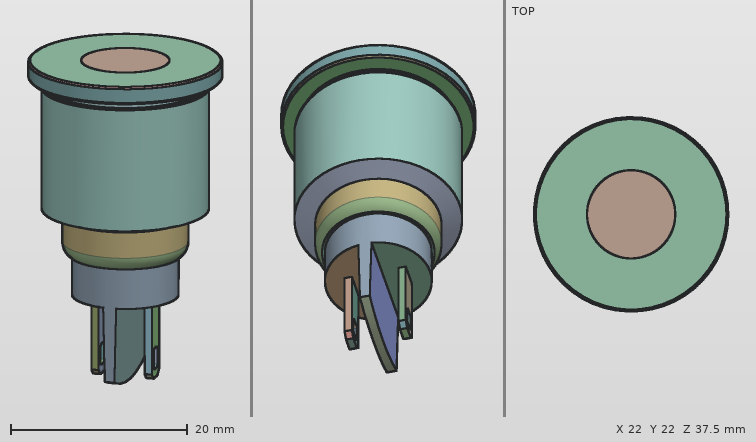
import cadquery as cq

total_height = 37.47
stem_bottom = 9.93
collar_bottom = 14.7
collar_top = 19.25
body_bottom = 20.1
body_top = 34.45
neck_step = 35.2
flange_bottom = 35.4

flange_diameter = 22.0
neck_diameter = 18.0
neck_groove_diameter = 17.85
body_diameter = 19.0
collar_diameter = 14.3
collar_round = 1.87
collar_end_diameter = 12.75
collar_round_height = 1.55
stem_diameter = 12.1

flange_chamfer = 0.22
body_chamfer = 0.1

button_diameter = 9.95
button_bore = 10.0
button_gap_depth = 0.37

blade_top_thickness = 1.55
blade_tip_thickness = 1.1
blade_corner_height = 1.25

pin_offset = 3.15
pin_thickness = 0.85
pin_width = 2.9
pin_bottom = 0.5
pin_chamfer = 0.67
eye_width = 1.35
eye_height = 2.47
eye_bottom = 1.5
eye_corner = 0.35

overlap = 0.37


def disc(diameter, bottom, top):
    return cq.Workplane("XY").workplane(offset=bottom).circle(diameter / 2).extrude(top - bottom)


def make_housing():
    flange = disc(flange_diameter, flange_bottom, total_height).edges().chamfer(flange_chamfer)
    neck = disc(neck_diameter, neck_step, flange_bottom)
    neck = neck.union(disc(neck_groove_diameter, body_top, neck_step))
    body = disc(body_diameter, body_bottom, body_top).faces(">Z").edges().chamfer(body_chamfer)
    stem = disc(stem_diameter, stem_bottom, collar_bottom)
    return flange.union(neck).union(body).union(make_collar()).union(stem)


def make_collar():
    """Collar with a cone up to the body and a rounded lower edge."""
    radius = collar_diameter / 2
    round_start = collar_bottom + collar_round_height
    profile = (
        cq.Workplane("XZ")
        .moveTo(0, collar_bottom)
        .lineTo(collar_end_diameter / 2, collar_bottom)
        .radiusArc((radius, round_start), -collar_round)
        .lineTo(radius, collar_top)
        .lineTo(body_diameter / 2, body_bottom)
        .lineTo(0, body_bottom)
        .close()
    )
    return profile.revolve(360, (0, 0, 0), (0, 1, 0))


def make_button_gap():
    gap_bottom = total_height - button_gap_depth
    bore = disc(button_bore, gap_bottom, total_height)
    return bore.cut(disc(button_diameter, gap_bottom, total_height))


def make_blade():
    """Blade whose side edges follow the stem cylinder."""
    top = stem_bottom + overlap
    half_width = stem_diameter / 2
    outline = (
        cq.Workplane("YZ")
        .moveTo(-half_width, top)
        .lineTo(-half_width, blade_corner_height)
        .threePointArc((0, 0), (half_width, blade_corner_height))
        .lineTo(half_width, top)
        .close()
        .extrude(blade_top_thickness, both=True)
    )
    taper = (
        cq.Workplane("XZ")
        .moveTo(-blade_tip_thickness / 2, 0)
        .lineTo(blade_tip_thickness / 2, 0)
        .lineTo(blade_top_thickness / 2, stem_bottom)
        .lineTo(blade_top_thickness / 2, top)
        .lineTo(-blade_top_thickness / 2, top)
        .lineTo(-blade_top_thickness / 2, stem_bottom)
        .close()
        .extrude(stem_diameter, both=True)
    )
    return outline.intersect(taper).intersect(disc(stem_diameter, 0, top))


def make_pin(x):
    height = stem_bottom + overlap - pin_bottom
    pin = (
        cq.Workplane("XY")
        .box(pin_thickness, pin_width, height, centered=(True, True, False))
        .faces("<Z")
        .edges("|X")
        .chamfer(pin_chamfer)
        .translate((x, 0, pin_bottom))
    )
    eye = (
        cq.Workplane("XY")
        .box(pin_thickness, eye_width, eye_height, centered=(True, True, False))
        .edges("|X")
        .fillet(eye_corner)
        .translate((x, 0, eye_bottom))
    )
    return pin.cut(eye)


result = make_housing().cut(make_button_gap()).union(make_blade())
for side in (-1, 1):
    result = result.union(make_pin(side * pin_offset))